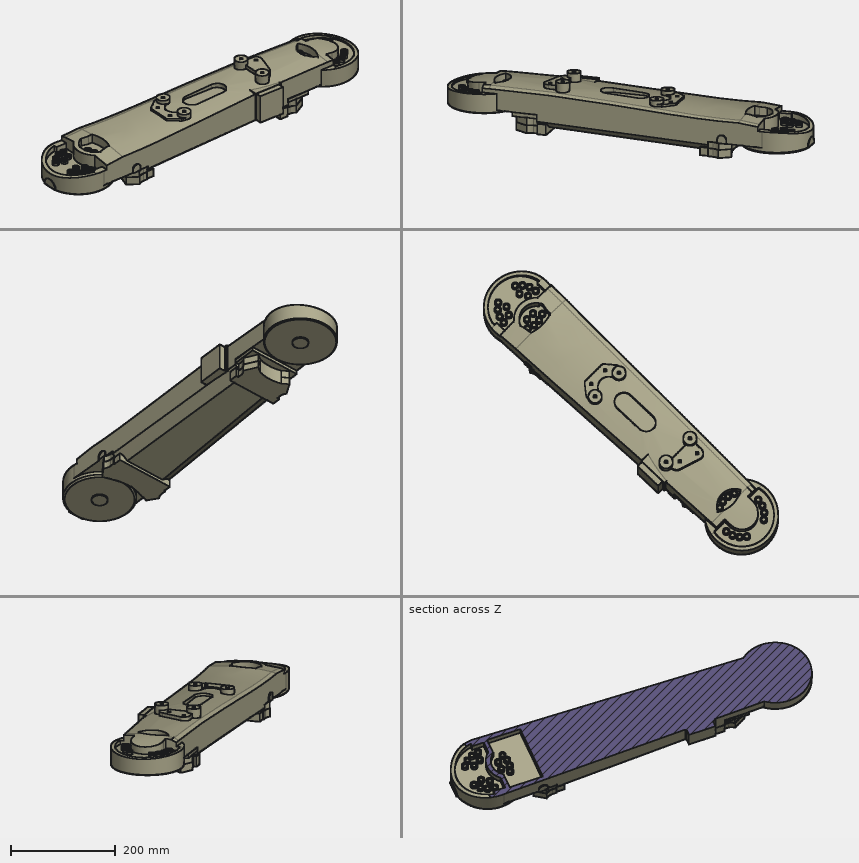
import cadquery as cq
import math

END_SPACING = 590.0
DISC_RADIUS = 70.0
RIM_WIDTH = 8.0
UPPER_DISC_CHAMFER, LOWER_DISC_CHAMFER = 2.0, 3.5

UPPER_DISC_Y = END_SPACING / 2
LOWER_DISC_Y = -END_SPACING / 2
BODY_END_Y = 281.0

UPPER_DISC_BOTTOM, UPPER_FLOOR, UPPER_RIM = 39.0, 70.0, 77.6
LOWER_DISC_BOTTOM, LOWER_FLOOR, LOWER_RIM = 19.0, 50.0, 62.2
UPPER_RIM_CURVE = 590.0
LOWER_RIM_CURVE = 200.0
LOWER_PAD_END_Y = -304.7
HUB_RADIUS = 15.5
HUB_DROP = 2.8

HALF_WIDTH_AT_CENTRE = 61.5
HALF_WIDTH_GAIN = 16.0
HALF_WIDTH_SLOPE = HALF_WIDTH_GAIN / (2 * BODY_END_Y)
CROWN_RADIUS = 400.0
BEVEL_WIDTH = 10.4
BEVEL_DROP = 7.0
TRIM_MARGIN = 4.0
UPPER_CREASE_Y = 267.5
LOWER_CREASE_Y = -241.0
TOP_AT_UPPER_CREASE = 93.0
TOP_AT_LOWER_CREASE = 81.3
TONGUE_SECTIONS = [(328.0, 84.0), (297.0, 90.6), (UPPER_CREASE_Y, TOP_AT_UPPER_CREASE)]
MIDDLE_SECTIONS = [
    (UPPER_CREASE_Y, TOP_AT_UPPER_CREASE),
    (112.0, 92.4),
    (0.0, 87.9),
    (-106.0, 82.7),
    (LOWER_CREASE_Y, TOP_AT_LOWER_CREASE),
]
COLLAR_SECTIONS = [(LOWER_CREASE_Y, TOP_AT_LOWER_CREASE), (-300.0, 76.0)]
TONGUE_HALF_WIDTH = 31.5
COLLAR_Y, COLLAR_RADIUS = -252.5, 43.0
SECTION_BASE = 20.0

UPPER_UNDERSIDE, LOWER_UNDERSIDE = 44.6, 29.9
BELLY_UPPER_Y, BELLY_LOWER_Y = 169.8, -178.6
BELLY_SIDE_UPPER, BELLY_SIDE_LOWER = 31.4, 23.7
BELLY_BOTTOM_UPPER, BELLY_BOTTOM_LOWER = 16.5, 7.0
BELLY_INSET = 22.0

OUTER_SCREW_RADIUS = 43.5
INNER_SCREW_RADIUS = 26.7
SCREW_HEAD_DIAMETER = 13.0
SCREW_HEAD_HEIGHT = 6.0
SCREW_SOCKET_DIAMETER = 8.5
SCREW_SOCKET_DEPTH = 3.0
UPPER_ACCESS_FLOOR = 75.0
SIDE_SCREW_ANGLES = [2.5, 21.0, 39.5, 58.0]
END_SCREW_ANGLES = [63.0, 81.0]
INNER_SIDE_ANGLES = [11.5, 48.5]
INNER_END_ANGLE = 72.0

BOSS_X, BOSS_RADIUS = 32.5, 13.0
UPPER_BOSS_Y, UPPER_BOSS_TOP = 125.4, 109.0
LOWER_BOSS_Y, LOWER_BOSS_TOP = -64.0, 93.7
TAPPED_HOLE_RADIUS = 3.0
HOLE_DEPTH = 12.0
ROOT_Z = 75.0

TIER_STEP = 0.8


def half_width(y):
    return HALF_WIDTH_AT_CENTRE - HALF_WIDTH_SLOPE * y


def box(x0, x1, y0, y1, z0, z1):
    return cq.Workplane("XY").box(x1 - x0, y1 - y0, z1 - z0, centered=False).translate((x0, y0, z0))


def cylinder(x, y, z0, z1, radius):
    return cq.Workplane("XY").workplane(offset=z0).center(x, y).circle(radius).extrude(z1 - z0)


def arm_section(y, top):
    """Closed wire of the arm at one Y station, its top crowned and its left edge bevelled."""
    def crown(x):
        return top - x * x / (2 * CROWN_RADIUS)

    half = half_width(y)
    outer = half + TRIM_MARGIN
    bevel_x = BEVEL_WIDTH - half
    bevel_slope = (crown(bevel_x) - top + BEVEL_DROP) / BEVEL_WIDTH
    corners = [
        (bevel_x, crown(bevel_x)),
        (-outer, top - BEVEL_DROP - bevel_slope * TRIM_MARGIN),
        (-outer, SECTION_BASE),
        (outer, SECTION_BASE),
        (outer, crown(outer)),
    ]
    points = [cq.Vector(x, y, z) for x, z in corners]
    edges = [cq.Edge.makeLine(a, b) for a, b in zip(points, points[1:])]
    edges.append(cq.Edge.makeThreePointArc(points[-1], cq.Vector(0, y, top), points[0]))
    return cq.Wire.assembleEdges(edges)


def arm_stretch(sections):
    wires = [arm_section(y, top) for y, top in sections]
    return cq.Workplane(obj=cq.Solid.makeLoft(wires, len(wires) == 2))


def arm_outline():
    """Vertical prism that trims the arm to its flanks, end faces, rounded tongue and round collar."""
    height = 2 * DISC_RADIUS
    upper_half, lower_half = half_width(BODY_END_Y), half_width(-BODY_END_Y)
    corners = [
        (-lower_half, -BODY_END_Y),
        (lower_half, -BODY_END_Y),
        (upper_half, BODY_END_Y),
        (-upper_half, BODY_END_Y),
    ]
    main = cq.Workplane("XY").polyline(corners).close().extrude(height)
    tongue = box(-TONGUE_HALF_WIDTH, TONGUE_HALF_WIDTH, 0, UPPER_DISC_Y, UPPER_DISC_BOTTOM, height)
    tongue_tip = cylinder(0, UPPER_DISC_Y, UPPER_DISC_BOTTOM, height, TONGUE_HALF_WIDTH)
    collar = cylinder(0, COLLAR_Y, LOWER_UNDERSIDE, height, COLLAR_RADIUS)
    return main.union(tongue).union(tongue_tip).union(collar)


def arm_side_profile():
    """Prism along X that gives the arm its stepped, sloping lower edge."""
    reach = END_SPACING
    points = [
        (reach, UPPER_UNDERSIDE),
        (BELLY_UPPER_Y, UPPER_UNDERSIDE),
        (BELLY_UPPER_Y, BELLY_SIDE_UPPER),
        (BELLY_LOWER_Y, BELLY_SIDE_LOWER),
        (BELLY_LOWER_Y, LOWER_UNDERSIDE),
        (-reach, LOWER_UNDERSIDE),
        (-reach, reach),
        (reach, reach),
    ]
    return cq.Workplane("YZ").polyline(points).close().extrude(DISC_RADIUS * 2, both=True)


def belly_section(y, side, bottom):
    half = half_width(y)
    inner = half - BELLY_INSET
    corners = [(-half, side), (-inner, bottom), (inner, bottom), (half, side)]
    return cq.Wire.makePolygon([cq.Vector(x, y, z) for x, z in corners], close=True)


def arm():
    body = arm_stretch(MIDDLE_SECTIONS)
    body = body.union(arm_stretch(TONGUE_SECTIONS)).union(arm_stretch(COLLAR_SECTIONS))
    body = body.intersect(arm_outline()).intersect(arm_side_profile())
    belly = cq.Solid.makeLoft(
        [
            belly_section(BELLY_UPPER_Y, BELLY_SIDE_UPPER, BELLY_BOTTOM_UPPER),
            belly_section(BELLY_LOWER_Y, BELLY_SIDE_LOWER, BELLY_BOTTOM_LOWER),
        ],
        True,
    )
    return body.union(cq.Workplane(obj=belly))


def curve_drop(distance, radius):
    return radius - math.sqrt(radius ** 2 - distance ** 2)


def end_disc(y, bottom, rim, chamfer, fall_start, curve_radius):
    """Disc with a chamfered lower edge, a hub below and a rim that curves down towards the tip."""
    side = math.copysign(1, y)
    disc = cylinder(0, y, bottom, rim, DISC_RADIUS).faces("<Z").edges().chamfer(chamfer)
    fall_end = y + side * DISC_RADIUS
    fall_length = abs(fall_end - fall_start)
    above_rim = (
        cq.Workplane("YZ")
        .moveTo(fall_start, rim)
        .threePointArc(
            (fall_start + side * fall_length / 2, rim - curve_drop(fall_length / 2, curve_radius)),
            (fall_end, rim - curve_drop(fall_length, curve_radius)),
        )
        .lineTo(fall_end, rim + DISC_RADIUS)
        .lineTo(fall_start, rim + DISC_RADIUS)
        .close()
        .extrude(2 * DISC_RADIUS, both=True)
    )
    hub = cylinder(0, y, bottom - HUB_DROP, bottom, HUB_RADIUS)
    return disc.cut(above_rim).union(hub)


def upper_disc():
    disc = end_disc(
        UPPER_DISC_Y, UPPER_DISC_BOTTOM, UPPER_RIM, UPPER_DISC_CHAMFER, BODY_END_Y, UPPER_RIM_CURVE
    )
    pocket = cylinder(0, UPPER_DISC_Y, UPPER_FLOOR, UPPER_RIM, DISC_RADIUS - RIM_WIDTH)
    beyond_arm = box(-DISC_RADIUS, DISC_RADIUS, BODY_END_Y, 2 * BODY_END_Y, UPPER_FLOOR, UPPER_RIM)
    return disc.cut(pocket.intersect(beyond_arm))


def lower_disc():
    pad_inner_x = 55.0
    boss_radius, boss_z = 17.0, 22.5
    disc = end_disc(
        LOWER_DISC_Y, LOWER_DISC_BOTTOM, LOWER_RIM, LOWER_DISC_CHAMFER, LOWER_PAD_END_Y, LOWER_RIM_CURVE
    )
    end_half = half_width(-BODY_END_Y)
    axis_half = half_width(LOWER_DISC_Y)
    shoulder = (
        cq.Workplane("XY")
        .workplane(offset=LOWER_UNDERSIDE)
        .moveTo(-end_half, -BODY_END_Y)
        .lineTo(end_half, -BODY_END_Y)
        .lineTo(axis_half, LOWER_DISC_Y)
        .lineTo(-axis_half, LOWER_DISC_Y)
        .close()
        .extrude(LOWER_RIM - LOWER_UNDERSIDE)
    )
    pocket = cylinder(0, LOWER_DISC_Y, LOWER_FLOOR, LOWER_RIM, DISC_RADIUS - RIM_WIDTH)
    beyond_pads = box(-DISC_RADIUS, DISC_RADIUS, -2 * BODY_END_Y, LOWER_PAD_END_Y, LOWER_FLOOR, LOWER_RIM)
    between_pads = box(-pad_inner_x, pad_inner_x, LOWER_PAD_END_Y, -BODY_END_Y, LOWER_FLOOR, LOWER_RIM)
    tip_y = LOWER_DISC_Y - DISC_RADIUS
    boss = (
        cq.Workplane("XZ", origin=(0, tip_y, boss_z))
        .moveTo(-boss_radius, 0)
        .threePointArc((0, boss_radius), (boss_radius, 0))
        .close()
        .extrude(-RIM_WIDTH)
    )
    return disc.union(shoulder).cut(pocket.intersect(beyond_pads)).cut(between_pads).union(boss)


def upper_access_pocket():
    corner_x, corner_y = 31.0, 262.0
    far_y, near_y = 271.7, 243.0
    return (
        cq.Workplane("XY")
        .workplane(offset=UPPER_ACCESS_FLOOR)
        .moveTo(-corner_x, corner_y)
        .threePointArc((0, far_y), (corner_x, corner_y))
        .threePointArc((0, near_y), (-corner_x, corner_y))
        .close()
        .extrude(DISC_RADIUS)
    )


def lower_access_pocket():
    """Opening through the arm's top skin into a wider hollow around the lower screws."""
    neck_x, neck_top_y, neck_bottom_y = 26.5, -241.0, -250.0
    far_y = -236.5
    bowl_x, bowl_y, bowl_bottom_y = 30.0, -265.0, -285.3
    hollow_half, hollow_ceiling = 58.0, 62.0
    hollow_start_y, hollow_end_y = -272.0, -205.0
    opening = (
        cq.Workplane("XY")
        .workplane(offset=LOWER_FLOOR)
        .moveTo(-neck_x, neck_bottom_y)
        .lineTo(-neck_x, neck_top_y)
        .threePointArc((0, far_y), (neck_x, neck_top_y))
        .lineTo(neck_x, neck_bottom_y)
        .lineTo(bowl_x, bowl_y)
        .threePointArc((0, bowl_bottom_y), (-bowl_x, bowl_y))
        .close()
        .extrude(DISC_RADIUS)
    )
    hollow = box(-hollow_half, hollow_half, hollow_start_y, hollow_end_y, LOWER_FLOOR, hollow_ceiling)
    return opening.union(hollow)


def screw_points(centre_y, radius, angles, outward):
    """Positions mirrored about X = 0, at angles measured from the X axis towards `outward` Y."""
    points = []
    for angle in angles:
        x = radius * math.cos(math.radians(angle))
        y = centre_y + outward * radius * math.sin(math.radians(angle))
        points += [(x, y), (-x, y)]
    return points


def screw_heads(points, floor):
    heads = cq.Workplane("XY").workplane(offset=floor).pushPoints(points)
    heads = heads.circle(SCREW_HEAD_DIAMETER / 2).extrude(SCREW_HEAD_HEIGHT)
    head_top = floor + SCREW_HEAD_HEIGHT
    sockets = cq.Workplane("XY").workplane(offset=head_top).pushPoints(points)
    sockets = sockets.circle(SCREW_SOCKET_DIAMETER / 2).extrude(-SCREW_SOCKET_DEPTH)
    return heads.cut(sockets)


def all_screws():
    upper_side = screw_points(UPPER_DISC_Y, OUTER_SCREW_RADIUS, SIDE_SCREW_ANGLES, 1)
    upper_end = screw_points(UPPER_DISC_Y, OUTER_SCREW_RADIUS, END_SCREW_ANGLES, -1)
    lower_side = screw_points(LOWER_DISC_Y, OUTER_SCREW_RADIUS, SIDE_SCREW_ANGLES, -1)
    lower_side += screw_points(LOWER_DISC_Y, INNER_SCREW_RADIUS, INNER_SIDE_ANGLES, -1)
    lower_end = screw_points(LOWER_DISC_Y, OUTER_SCREW_RADIUS, END_SCREW_ANGLES, 1)
    lower_end += screw_points(LOWER_DISC_Y, INNER_SCREW_RADIUS, [INNER_END_ANGLE], 1)
    heads = screw_heads(upper_side, UPPER_FLOOR).union(screw_heads(upper_end, UPPER_ACCESS_FLOOR))
    return heads.union(screw_heads(lower_side, LOWER_FLOOR)).union(screw_heads(lower_end, LOWER_FLOOR))


def bosses_with_plate(plate, plate_top, plate_holes, boss_y, boss_top):
    """Mount made of a plate and two bosses, and the list of hole cylinders to cut from it."""
    mount = plate
    for x in (-BOSS_X, BOSS_X):
        mount = mount.union(cylinder(x, boss_y, ROOT_Z, boss_top, BOSS_RADIUS))
    holes = [(x, boss_y, boss_top) for x in (-BOSS_X, BOSS_X)]
    holes += [(x, y, plate_top) for x, y in plate_holes]
    return mount, [cylinder(x, y, top - HOLE_DEPTH, top, TAPPED_HOLE_RADIUS) for x, y, top in holes]


def upper_mount():
    plate_top = 100.0
    plate_holes = [(-22.8, 154.0), (11.7, 141.8)]
    left_x, right_x = -34.5, 32.0
    straight_y, left_y, right_y = 127.0, 170.5, 149.5
    left_corner_radius, right_corner_radius = 12.0, 15.0
    plate = (
        cq.Workplane("XY")
        .workplane(offset=ROOT_Z)
        .polyline([(left_x, straight_y), (left_x, left_y), (right_x, right_y), (right_x, straight_y)])
        .close()
        .extrude(plate_top - ROOT_Z)
        .edges("|Z and >Y")
        .fillet(left_corner_radius)
        .edges(cq.NearestToPointSelector((right_x, right_y, (ROOT_Z + plate_top) / 2)))
        .fillet(right_corner_radius)
    )
    return bosses_with_plate(plate, plate_top, plate_holes, UPPER_BOSS_Y, UPPER_BOSS_TOP)


def lower_mount():
    plate_top = 86.4
    plate_holes = [(-18.8, -87.6), (18.8, -87.6)]
    outer_x, shoulder_x, foot_x = BOSS_X + BOSS_RADIUS, 42.5, 24.5
    shoulder_y, foot_y = -78.0, -100.0
    arc_x, arc_bottom_y = 20.0, -80.3
    plate = (
        cq.Workplane("XY")
        .workplane(offset=ROOT_Z)
        .moveTo(-outer_x, LOWER_BOSS_Y)
        .lineTo(-shoulder_x, shoulder_y)
        .lineTo(-foot_x, foot_y)
        .lineTo(foot_x, foot_y)
        .lineTo(shoulder_x, shoulder_y)
        .lineTo(outer_x, LOWER_BOSS_Y)
        .lineTo(arc_x, LOWER_BOSS_Y)
        .threePointArc((0, arc_bottom_y), (-arc_x, LOWER_BOSS_Y))
        .close()
        .extrude(plate_top - ROOT_Z)
    )
    return bosses_with_plate(plate, plate_top, plate_holes, LOWER_BOSS_Y, LOWER_BOSS_TOP)


def slot_cut():
    slot_y, slot_length, slot_width, slot_floor = 11.0, 96.0, 36.0, 81.0
    return (
        cq.Workplane("XY")
        .workplane(offset=slot_floor)
        .center(0, slot_y)
        .slot2D(slot_length, slot_width, 90)
        .extrude(DISC_RADIUS)
    )


def side_block():
    block_bottom, block_top, pad_top = 30.0, 88.8, 89.4
    pad_x, block_x = 60.8, 73.0
    pad_start_y, pad_end_y = 87.0, 149.0
    block_start_y, block_end_y = 89.0, 144.0
    inner_x = 40.0
    pad = box(inner_x, pad_x, pad_start_y, pad_end_y, block_bottom, pad_top)
    block = box(inner_x, block_x, block_start_y, block_end_y, block_bottom, block_top)
    return pad.union(block)


def yoke(sign, half, tip_y, corner_y, neck_y, back_y, z0, z1):
    """Block with a hollow front facing the disc, slanted cheeks and a slightly narrower neck."""
    cheek_width = 14.5
    tip_x = half - cheek_width
    hollow_x = 26.0
    hollow_depth, hollow_arc_depth = 9.0, 13.0
    neck_step, neck_bulge = 5.0, 1.3
    neck_x = half - neck_step
    hollow_y = tip_y - sign * hollow_depth
    middle_y = (corner_y + neck_y) / 2
    bend_x = neck_x + neck_bulge
    return (
        cq.Workplane("XY")
        .workplane(offset=z0)
        .moveTo(-tip_x, tip_y)
        .lineTo(-hollow_x, hollow_y)
        .threePointArc((0, tip_y - sign * hollow_arc_depth), (hollow_x, hollow_y))
        .lineTo(tip_x, tip_y)
        .lineTo(half, corner_y)
        .threePointArc((bend_x, middle_y), (neck_x, neck_y))
        .lineTo(neck_x, back_y)
        .lineTo(-neck_x, back_y)
        .lineTo(-neck_x, neck_y)
        .threePointArc((-bend_x, middle_y), (-half, corner_y))
        .close()
        .extrude(z1 - z0)
    )


def lower_clamp():
    half = 69.5
    tip_y, corner_y, neck_y = -222.6, -201.4, -188.0
    back_half, back_y = 62.5, -161.7
    split_z = 16.3
    arch_y, arch_radius, arch_z = -207.7, 9.3, 37.0
    upper_tier = yoke(-1, half - TIER_STEP, tip_y, corner_y, neck_y, BELLY_LOWER_Y, split_z, LOWER_UNDERSIDE)
    lower_tier = yoke(-1, half, tip_y, corner_y, neck_y, BELLY_LOWER_Y, 0.0, split_z)
    back = box(-back_half, back_half, BELLY_LOWER_Y, back_y, 0.0, split_z)
    arch = (
        cq.Workplane("YZ")
        .moveTo(arch_y - arch_radius, LOWER_UNDERSIDE)
        .lineTo(arch_y - arch_radius, arch_z)
        .threePointArc((arch_y, arch_z + arch_radius), (arch_y + arch_radius, arch_z))
        .lineTo(arch_y + arch_radius, LOWER_UNDERSIDE)
        .close()
        .extrude(half, both=True)
    )
    return upper_tier.union(lower_tier).union(back).union(arch)


def upper_clamp():
    half = 54.0
    tip_y, corner_y, neck_y = 217.0, 191.0, 179.5
    back_y = 152.0
    plate_y = 219.6
    bottom, split_z, back_top, plate_bottom = 4.9, 20.4, 26.0, 36.5
    plate_half = half_width(plate_y)
    upper_tier = yoke(1, half - TIER_STEP, tip_y, corner_y, neck_y, BELLY_UPPER_Y, split_z, plate_bottom)
    lower_tier = yoke(1, half, tip_y, corner_y, neck_y, BELLY_UPPER_Y, bottom, split_z)
    back = box(-half, half, back_y, BELLY_UPPER_Y, bottom, back_top)
    plate = box(-plate_half, plate_half, BELLY_UPPER_Y, plate_y, plate_bottom, UPPER_UNDERSIDE)
    return upper_tier.union(lower_tier).union(back).union(plate)


result = arm().union(upper_disc()).union(lower_disc())
result = result.cut(upper_access_pocket()).cut(lower_access_pocket()).cut(slot_cut())
result = result.union(all_screws())
for mount, mount_holes in (upper_mount(), lower_mount()):
    result = result.union(mount)
    for hole in mount_holes:
        result = result.cut(hole)
result = result.union(side_block()).union(lower_clamp()).union(upper_clamp())